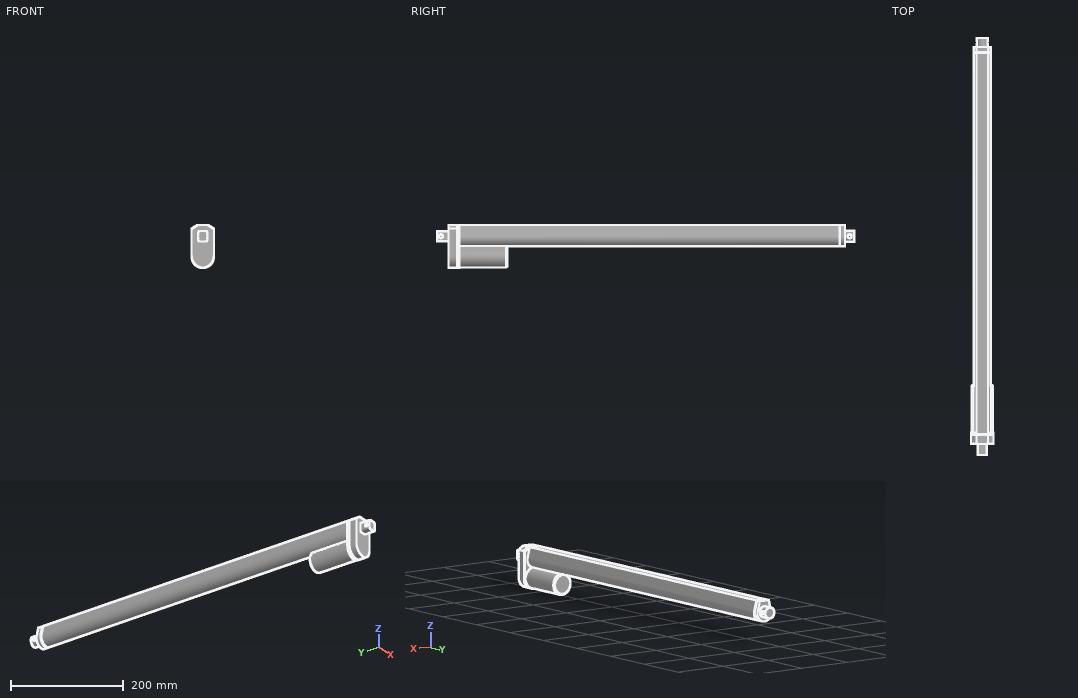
import cadquery as cq

TOTAL_LENGTH = 741.0
TOTAL_HEIGHT = 76.0
FRONT_Y = -TOTAL_LENGTH / 2
REAR_Y = TOTAL_LENGTH / 2
TOP_Z = TOTAL_HEIGHT / 2
BOTTOM_Z = -TOP_Z
TOP_FLAT_HALF = 10.0

GEARBOX_WIDTH = 40.0
GEARBOX_CHAMFER_DROP = 7.0
PLATE_THICKNESS = 15.5
COVER_THICKNESS = 4.5

SEAM_WIDTH = 1.5
SEAM_DEPTH = 1.0

TUBE_SHOULDER_WIDTH = 29.0
TUBE_HEIGHT = 38.0
TUBE_SLOPE_DROP = 18.0
REAR_CAP_LENGTH = 10.0

MOTOR_DIAMETER = 38.5
MOTOR_END_Y = -246.0
MOTOR_CHAMFER = 2.0

EYE_AXIS_Z = TOP_Z - 20.0
FRONT_EYE_LENGTH = 20.0
FRONT_EYE_HEIGHT = 18.5
FRONT_EYE_WIDTH = 16.0
FRONT_EYE_FILLET = 3.2
FRONT_HOLE_INSET = 7.0
REAR_EYE_LENGTH = 16.0
REAR_EYE_DIAMETER = 20.0
REAR_HOLE_INSET = 8.0
EYE_HOLE_DIAMETER = 6.4

PLATE_FRONT_Y = FRONT_Y + FRONT_EYE_LENGTH
PLATE_REAR_Y = PLATE_FRONT_Y + PLATE_THICKNESS
COVER_REAR_Y = PLATE_REAR_Y + COVER_THICKNESS
TUBE_END_Y = REAR_Y - REAR_EYE_LENGTH
MOTOR_AXIS_Z = BOTTOM_Z + GEARBOX_WIDTH / 2


def section(y):
    """Sketch plane at the given Y; positive extrusion runs toward +Y."""
    return cq.Workplane(cq.Plane(origin=(0, y, 0), xDir=(-1, 0, 0), normal=(0, 1, 0)))


def gearbox_outline(y):
    """Flat top, chamfered corners, straight sides and a semicircular bottom."""
    half = GEARBOX_WIDTH / 2
    chamfer_z = TOP_Z - GEARBOX_CHAMFER_DROP
    return (
        section(y)
        .moveTo(-TOP_FLAT_HALF, TOP_Z)
        .lineTo(TOP_FLAT_HALF, TOP_Z)
        .lineTo(half, chamfer_z)
        .lineTo(half, MOTOR_AXIS_Z)
        .threePointArc((0, BOTTOM_Z), (-half, MOTOR_AXIS_Z))
        .lineTo(-half, chamfer_z)
        .close()
    )


def tube_outline(y):
    """Flat top, sloped shoulders and one arc around the underside."""
    half = TUBE_SHOULDER_WIDTH / 2
    shoulder_z = TOP_Z - TUBE_SLOPE_DROP
    return (
        section(y)
        .moveTo(-TOP_FLAT_HALF, TOP_Z)
        .lineTo(TOP_FLAT_HALF, TOP_Z)
        .lineTo(half, shoulder_z)
        .threePointArc((0, TOP_Z - TUBE_HEIGHT), (-half, shoulder_z))
        .close()
    )


def seam_groove(outline, y):
    """Ring cutter that follows the given outline just behind Y."""
    core = outline(y).offset2D(-SEAM_DEPTH).extrude(SEAM_WIDTH)
    return outline(y).extrude(SEAM_WIDTH).cut(core)


def cylinder(y, length, diameter, axis_z):
    return section(y).center(0, axis_z).circle(diameter / 2).extrude(length)


def cross_hole(y):
    """Cutter along X through an eye."""
    return (
        cq.Workplane("YZ").center(y, EYE_AXIS_Z)
        .circle(EYE_HOLE_DIAMETER / 2).extrude(GEARBOX_WIDTH / 2, both=True)
    )


def gearbox():
    body = gearbox_outline(PLATE_FRONT_Y).extrude(PLATE_THICKNESS + COVER_THICKNESS)
    return body.cut(seam_groove(gearbox_outline, PLATE_REAR_Y))


def tube():
    body = tube_outline(COVER_REAR_Y).extrude(TUBE_END_Y - COVER_REAR_Y)
    return body.cut(seam_groove(tube_outline, TUBE_END_Y - REAR_CAP_LENGTH))


def motor():
    body = cylinder(COVER_REAR_Y, MOTOR_END_Y - COVER_REAR_Y, MOTOR_DIAMETER, MOTOR_AXIS_Z)
    return body.faces(">Y").edges().chamfer(MOTOR_CHAMFER)


def front_eye():
    block = (
        section(FRONT_Y).center(0, EYE_AXIS_Z)
        .rect(FRONT_EYE_WIDTH, FRONT_EYE_HEIGHT).extrude(FRONT_EYE_LENGTH)
        .edges("|Y").fillet(FRONT_EYE_FILLET)
    )
    return block.cut(cross_hole(FRONT_Y + FRONT_HOLE_INSET))


def rear_eye():
    rod = cylinder(TUBE_END_Y, REAR_EYE_LENGTH, REAR_EYE_DIAMETER, EYE_AXIS_Z)
    return rod.cut(cross_hole(REAR_Y - REAR_HOLE_INSET))


result = gearbox().union(tube()).union(motor()).union(front_eye()).union(rear_eye())